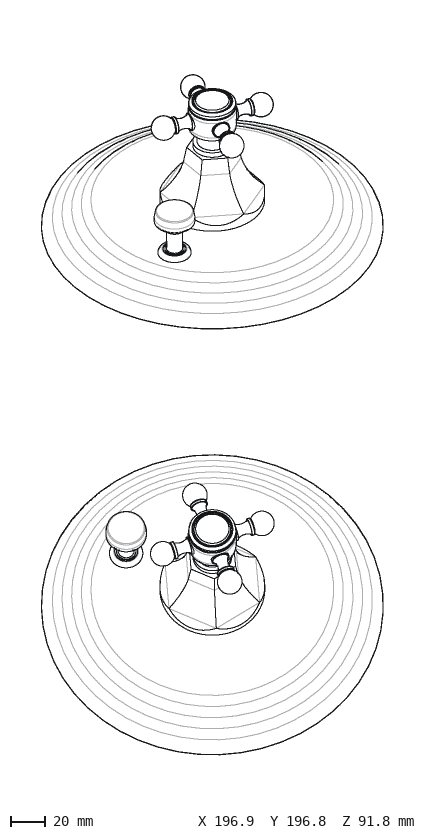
import cadquery as cq
import math

PLATE_RADIUS = 98.425
STEP_HEIGHT = 6.35
STEP_WIDTH = 11.1125
STEP_COUNT = 2
PLATE_TOP = (STEP_COUNT + 1) * STEP_HEIGHT

FOOT_RADIUS = 30.2
FLARE_BOTTOM_Z = 27.0
FLARE_TOP_Z = 47.9
COLUMN_TOP_Z = 58.0
FLARE_BOTTOM_APOTHEM = FOOT_RADIUS * math.cos(math.pi / 6)
FLARE_TOP_APOTHEM = 14.5
COLUMN_TOP_APOTHEM = 12.85
BODY_BLANK = 3 * FOOT_RADIUS
COLUMN_FACE_ANGLES = (0, 60, 120)

COLLAR_RADIUS = 11.2
COLLAR_TOP_Z = 61.2
STEM_RADIUS = 8.8

HUB_UNDERSIDE_Z = 70.6
HUB_UNDERSIDE_RADIUS = 9.8
HUB_BOTTOM_Z = 71.6
WAIST_BOTTOM_Z = 73.9
WAIST_TOP_Z = 84.2
HUB_TOP_Z = 86.2
HUB_END_RADIUS = 13.6
WAIST_RADIUS = 13.9
CAP_SEAM_WIDTH = 0.5
CAP_SEAM_DEPTH = 0.4
CAP_SHOULDER_Z = 88.9
CAP_RIM_RADIUS = 11.8
CAP_RIM_Z = 90.2
CAP_TOP_Z = 91.85
CAP_DISC_RADIUS = 9.6
CAP_GROOVE_OUTER_RADIUS = 11.2
CAP_GROOVE_INNER_RADIUS = 10.5
CAP_GROOVE_FLOOR_Z = 89.8
CAP_DISC_EDGE_Z = 90.7

ARM_COUNT = 4
FIRST_ARM_ANGLE = 45
ARM_Z = 79.1
BALL_RADIUS = 7.1
BALL_CENTRE = 30.2
ARM_FLANGE_RADIUS = 5.2
ARM_ROOT = 14.2
ARM_ROOT_RADIUS = 4.6
ARM_NECK = 18.0
ARM_NECK_RADIUS = 3.2
ARM_FLARE = 22.6
ARM_FLARE_RADIUS = 4.4
BEAD_END = 24.2
BEAD_RADIUS = 5.0

KNOB_Y = -55.0
ROSETTE_RADIUS = 9.6
ROSETTE_HEIGHT = 2.9
ROSETTE_TOP_RADIUS = 7.2
ROSETTE_GROOVE_INNER_RADIUS = 5.6
ROSETTE_GROOVE_OUTER_RADIUS = 6.6
ROSETTE_GROOVE_DEPTH = 0.5
KNOB_STEM_RADIUS = 4.6
KNOB_CONE_BOTTOM_Z = 36.3
KNOB_CONE_BOTTOM_RADIUS = 5.5
KNOB_CONE_TOP_RADIUS = 11.0
KNOB_CONE_TOP_Z = KNOB_CONE_BOTTOM_Z + KNOB_CONE_TOP_RADIUS - KNOB_CONE_BOTTOM_RADIUS
KNOB_RADIUS = 11.7
KNOB_BELT_Z = 44.7
KNOB_TOP_Z = 49.1
KNOB_TOP_RADIUS = 10.9
KNOB_TOP_ROUND = 0.6


def round_about_z(profile):
    """Turn a closed (radius, height) profile in the XZ plane about the Z axis."""
    return profile.close().revolve(360, (0, 0, 0), (0, 1, 0))


def make_plate():
    profile = cq.Workplane("XZ").lineTo(PLATE_RADIUS, 0)
    radius = PLATE_RADIUS - STEP_HEIGHT
    height = STEP_HEIGHT
    profile = profile.radiusArc((radius, height), -STEP_HEIGHT)
    half_width = STEP_WIDTH / 2
    half_height = STEP_HEIGHT / 2
    arc_radius = (half_width**2 + half_height**2) / (2 * half_height)
    for _ in range(STEP_COUNT):
        profile = profile.radiusArc((radius - half_width, height + half_height), arc_radius)
        radius -= STEP_WIDTH
        height += STEP_HEIGHT
        profile = profile.radiusArc((radius, height), -arc_radius)
    return round_about_z(profile.lineTo(0, PLATE_TOP))


def make_flared_slab(angle):
    """One pair of opposite column faces, with their flat spacing along the given angle."""
    foot_z = FLARE_BOTTOM_Z - (BODY_BLANK / 2 - FLARE_BOTTOM_APOTHEM)
    slab = (
        cq.Workplane("XZ", origin=(0, BODY_BLANK / 2, 0))
        .moveTo(BODY_BLANK / 2, foot_z)
        .lineTo(FLARE_BOTTOM_APOTHEM, FLARE_BOTTOM_Z)
        .tangentArcPoint((FLARE_TOP_APOTHEM, FLARE_TOP_Z), relative=False)
        .lineTo(COLUMN_TOP_APOTHEM, COLUMN_TOP_Z)
        .lineTo(0, COLUMN_TOP_Z)
        .lineTo(0, foot_z)
        .close()
        .extrude(BODY_BLANK)
    )
    slab = slab.union(slab.mirror("YZ"))
    return slab.rotate((0, 0, 0), (0, 0, 1), angle)


def make_valve_body():
    body = cq.Workplane("XY").circle(FOOT_RADIUS).extrude(COLUMN_TOP_Z)
    for angle in COLUMN_FACE_ANGLES:
        body = body.intersect(make_flared_slab(angle))
    return body


def make_handle_spindle():
    collar = cq.Workplane("XY").circle(COLLAR_RADIUS).extrude(COLLAR_TOP_Z)
    stem = cq.Workplane("XY").circle(STEM_RADIUS).extrude(WAIST_BOTTOM_Z)
    foot = cq.Workplane("XY").circle(FOOT_RADIUS).extrude(PLATE_TOP)
    return collar.union(stem).union(foot)


def make_hub():
    seam_radius = HUB_END_RADIUS - CAP_SEAM_DEPTH
    seam_top_z = HUB_TOP_Z + CAP_SEAM_WIDTH
    disc_rise = CAP_TOP_Z - CAP_DISC_EDGE_Z
    dome_radius = (CAP_DISC_RADIUS**2 + disc_rise**2) / (2 * disc_rise)
    profile = (
        cq.Workplane("XZ")
        .moveTo(0, HUB_UNDERSIDE_Z)
        .lineTo(HUB_UNDERSIDE_RADIUS, HUB_UNDERSIDE_Z)
        .lineTo(HUB_END_RADIUS, HUB_BOTTOM_Z)
        .lineTo(WAIST_RADIUS, WAIST_BOTTOM_Z)
        .lineTo(WAIST_RADIUS, WAIST_TOP_Z)
        .lineTo(HUB_END_RADIUS, HUB_TOP_Z)
        .lineTo(seam_radius, HUB_TOP_Z)
        .lineTo(seam_radius, seam_top_z)
        .lineTo(HUB_END_RADIUS, seam_top_z)
        .lineTo(HUB_END_RADIUS, CAP_SHOULDER_Z)
        .lineTo(CAP_RIM_RADIUS, CAP_RIM_Z)
        .lineTo(CAP_GROOVE_OUTER_RADIUS, CAP_RIM_Z)
        .lineTo(CAP_GROOVE_OUTER_RADIUS, CAP_GROOVE_FLOOR_Z)
        .lineTo(CAP_GROOVE_INNER_RADIUS, CAP_GROOVE_FLOOR_Z)
        .lineTo(CAP_DISC_RADIUS, CAP_DISC_EDGE_Z)
        .radiusArc((0, CAP_TOP_Z), -dome_radius)
    )
    return round_about_z(profile)


def make_arm(angle):
    """Root flange, flared neck, bead and ball along +X, turned to the given angle."""
    ball_start = BALL_CENTRE - math.sqrt(BALL_RADIUS**2 - ARM_FLARE_RADIUS**2)
    arm = (
        cq.Workplane("XY")
        .lineTo(0, ARM_FLANGE_RADIUS)
        .lineTo(ARM_ROOT, ARM_FLANGE_RADIUS)
        .lineTo(ARM_ROOT, ARM_ROOT_RADIUS)
        .threePointArc((ARM_NECK, ARM_NECK_RADIUS), (ARM_FLARE, ARM_FLARE_RADIUS))
        .lineTo(ARM_FLARE, BEAD_RADIUS)
        .lineTo(BEAD_END, BEAD_RADIUS)
        .lineTo(BEAD_END, ARM_FLARE_RADIUS)
        .lineTo(ball_start, ARM_FLARE_RADIUS)
        .threePointArc((BALL_CENTRE, BALL_RADIUS), (BALL_CENTRE + BALL_RADIUS, 0))
        .close()
        .revolve(360, (0, 0, 0), (1, 0, 0))
    )
    return arm.rotate((0, 0, 0), (0, 0, 1), angle).translate((0, 0, ARM_Z))


def make_diverter_knob():
    rosette_top_z = PLATE_TOP + ROSETTE_HEIGHT
    groove_z = rosette_top_z - ROSETTE_GROOVE_DEPTH
    profile = (
        cq.Workplane("XZ")
        .lineTo(ROSETTE_RADIUS, 0)
        .lineTo(ROSETTE_RADIUS, PLATE_TOP)
        .radiusArc((ROSETTE_TOP_RADIUS, rosette_top_z), -ROSETTE_HEIGHT)
        .lineTo(ROSETTE_GROOVE_OUTER_RADIUS, rosette_top_z)
        .lineTo(ROSETTE_GROOVE_OUTER_RADIUS, groove_z)
        .lineTo(ROSETTE_GROOVE_INNER_RADIUS, groove_z)
        .lineTo(ROSETTE_GROOVE_INNER_RADIUS, rosette_top_z)
        .lineTo(KNOB_STEM_RADIUS, rosette_top_z)
        .lineTo(KNOB_STEM_RADIUS, KNOB_CONE_BOTTOM_Z)
        .lineTo(KNOB_CONE_BOTTOM_RADIUS, KNOB_CONE_BOTTOM_Z)
        .lineTo(KNOB_CONE_TOP_RADIUS, KNOB_CONE_TOP_Z)
        .lineTo(KNOB_RADIUS, KNOB_CONE_TOP_Z)
        .lineTo(KNOB_RADIUS, KNOB_BELT_Z)
        .lineTo(KNOB_TOP_RADIUS, KNOB_TOP_Z)
        .lineTo(0, KNOB_TOP_Z)
    )
    knob = round_about_z(profile).faces(">Z").edges().fillet(KNOB_TOP_ROUND)
    return knob.translate((0, KNOB_Y, 0))


result = make_plate().union(make_valve_body()).union(make_handle_spindle()).union(make_hub())
for arm_index in range(ARM_COUNT):
    result = result.union(make_arm(FIRST_ARM_ANGLE + arm_index * 360 / ARM_COUNT))
result = result.union(make_diverter_knob())